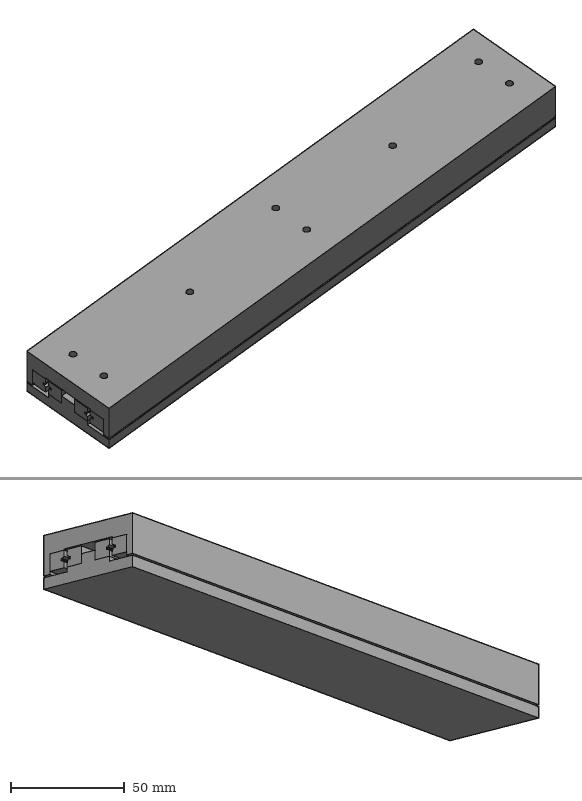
import cadquery as cq


LENGTH = 279.5
WIDTH = 50.5
HEIGHT = 25.0

RAIL_HEIGHT = 8.0
RAIL_WIDTH = 8.0
RAIL_GAP = 1.7
TABLE_RAIL_OUTER_X = 21.8
GROOVE_HEIGHT = 2.5
GROOVE_DEPTH = 1.5
RELIEF_HEIGHT = 0.8
RELIEF_DEPTH = 1.7

SLAB_THICKNESS = 5.3
BASE_RAIL_SEAT_Z = 7.5
RIDGE_TOP_Z = 12.0

TABLE_BOTTOM_Z = 6.1
TABLE_RAIL_SEAT_Z = 15.6
RECESS_TOP_Z = 16.2

HOLE_DIAMETER = 3.4
HOLE_PITCH_Y = 127.0
HOLE_HALF_SPACING_X = 9.5

table_rail_inner_x = TABLE_RAIL_OUTER_X - RAIL_WIDTH
base_rail_outer_x = table_rail_inner_x - RAIL_GAP
base_rail_inner_x = base_rail_outer_x - RAIL_WIDTH


def bar(x_min, x_max, z_min, z_max):
    """A rectangular bar over the full length of the slide."""
    return (
        cq.Workplane("XY")
        .box(x_max - x_min, LENGTH, z_max - z_min, centered=(False, True, False))
        .translate((x_min, 0, z_min))
    )


def centred_bar(half_width, z_min, z_max):
    """A full-length bar centred on the middle plane."""
    return bar(-half_width, half_width, z_min, z_max)


def make_base():
    """Slab with a raised middle; the base rails sit on the shoulders beside its ridge."""
    slab = centred_bar(WIDTH / 2, 0, SLAB_THICKNESS)
    shoulders = centred_bar(base_rail_outer_x, SLAB_THICKNESS, BASE_RAIL_SEAT_Z)
    ridge = centred_bar(base_rail_inner_x, BASE_RAIL_SEAT_Z, RIDGE_TOP_Z)
    return slab.union(shoulders).union(ridge)


def make_table():
    """Channel, open at the bottom, with a taller recess in the middle and mounting holes."""
    block = centred_bar(WIDTH / 2, TABLE_BOTTOM_Z, HEIGHT)
    channel = centred_bar(TABLE_RAIL_OUTER_X, TABLE_BOTTOM_Z, TABLE_RAIL_SEAT_Z)
    recess = centred_bar(table_rail_inner_x, TABLE_RAIL_SEAT_Z, RECESS_TOP_Z)
    pair_points = [
        (x, y)
        for x in (-HOLE_HALF_SPACING_X, HOLE_HALF_SPACING_X)
        for y in (-HOLE_PITCH_Y, 0, HOLE_PITCH_Y)
    ]
    middle_points = [(0, -HOLE_PITCH_Y / 2), (0, HOLE_PITCH_Y / 2)]
    holes = (
        cq.Workplane("XY")
        .workplane(offset=RECESS_TOP_Z)
        .pushPoints(pair_points + middle_points)
        .circle(HOLE_DIAMETER / 2)
        .extrude(HEIGHT - RECESS_TOP_Z)
    )
    return block.cut(channel).cut(recess).cut(holes)


def bar_between(x_a, x_b, z_min, z_max):
    """A full-length bar between two sides given in either order."""
    return bar(min(x_a, x_b), max(x_a, x_b), z_min, z_max)


def make_rail(back_x, face_x, bottom_z):
    """Rail from its back to its face, with a V groove and a relief slot along the face."""
    body = bar_between(back_x, face_x, bottom_z, bottom_z + RAIL_HEIGHT)
    inward = 1 if back_x > face_x else -1
    middle_z = bottom_z + RAIL_HEIGHT / 2
    groove = (
        cq.Workplane("XZ")
        .moveTo(face_x, middle_z - GROOVE_HEIGHT / 2)
        .lineTo(face_x + inward * GROOVE_DEPTH, middle_z)
        .lineTo(face_x, middle_z + GROOVE_HEIGHT / 2)
        .close()
        .extrude(LENGTH / 2, both=True)
    )
    relief = bar_between(
        face_x,
        face_x + inward * RELIEF_DEPTH,
        middle_z - RELIEF_HEIGHT / 2,
        middle_z + RELIEF_HEIGHT / 2,
    )
    return body.cut(groove).cut(relief)


base = make_base()
table = make_table()
table_rail_bottom_z = TABLE_RAIL_SEAT_Z - RAIL_HEIGHT
table_rails = []
base_rails = []
for side in (-1, 1):
    table_rails.append(
        make_rail(side * TABLE_RAIL_OUTER_X, side * table_rail_inner_x, table_rail_bottom_z)
    )
    base_rails.append(
        make_rail(side * base_rail_inner_x, side * base_rail_outer_x, BASE_RAIL_SEAT_Z)
    )

result = cq.Compound.makeCompound(
    [base.val(), table.val()] + [rail.val() for rail in table_rails + base_rails]
)